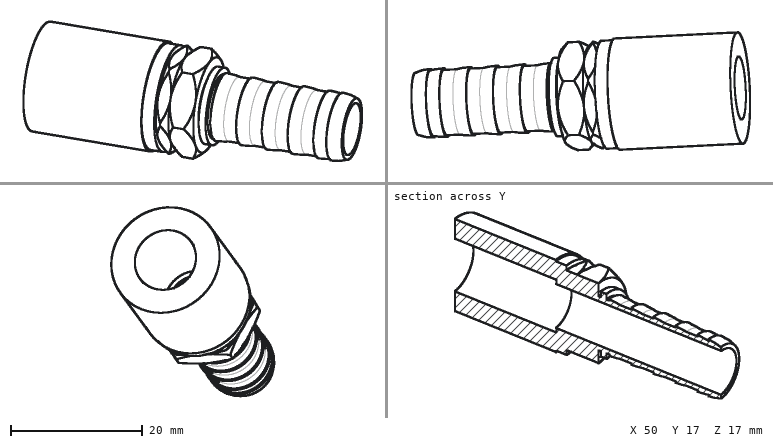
import cadquery as cq
import math


total_length = 50.0
sleeve_end = 19.0
collar_end = 21.0
thin_hex_end = 23.0
nut_end = 27.0
flange_start = 27.4
flange_width = 1.1
barb_start = 29.0
barb_pitch = 4.15
barb_count = 5
barb_length = barb_pitch / 2

sleeve_radius = 8.5
collar_radius = 8.25
flange_radius = 6.0
stem_radius = 5.0
barb_radius = 5.25
tip_radius = 4.75
socket_radius = 4.8
bore_radius = 4.0

hex_corner_radius = sleeve_radius
hex_flat_radius = hex_corner_radius * math.cos(math.pi / 6)


def cylinder(start, end, radius):
    return cq.Workplane("YZ", origin=(start, 0, 0)).circle(radius).extrude(end - start)


def revolve_about_axis(profile):
    return profile.close().revolve(360, (0, 0, 0), (1, 0, 0))


def chamfered_hex(start, end):
    """Hexagon whose corners are cut by 45 degree cones that start at the inscribed circle."""
    prism = (
        cq.Workplane("YZ", origin=(start, 0, 0))
        .polygon(6, 2 * hex_corner_radius)
        .extrude(end - start)
    )
    middle = (start + end) / 2
    apex_radius = hex_flat_radius + (end - start) / 2
    envelope = revolve_about_axis(
        cq.Workplane("XY")
        .moveTo(start, 0)
        .lineTo(start, hex_flat_radius)
        .lineTo(middle, apex_radius)
        .lineTo(end, hex_flat_radius)
        .lineTo(end, 0)
    )
    return prism.intersect(envelope)


def barb(start, end, end_radius):
    """Ridge with a square step facing the nut and a crown curving down towards the tip.

    The crown is nearly parallel to the axis at the step, so halfway along it
    has lost a quarter of its total drop.
    """
    middle = (start + end) / 2
    middle_radius = barb_radius - (barb_radius - end_radius) / 4
    return revolve_about_axis(
        cq.Workplane("XY")
        .moveTo(start, 0)
        .lineTo(start, barb_radius)
        .threePointArc((middle, middle_radius), (end, end_radius))
        .lineTo(end, 0)
    )


body = cylinder(0, sleeve_end, sleeve_radius)
body = body.union(cylinder(sleeve_end, collar_end, collar_radius))
body = body.union(chamfered_hex(collar_end, thin_hex_end))
body = body.union(chamfered_hex(thin_hex_end, nut_end))

tip_start = barb_start + (barb_count - 1) * barb_pitch + barb_length
body = body.union(cylinder(nut_end, tip_start, stem_radius))
body = body.union(cylinder(flange_start, flange_start + flange_width, flange_radius))
for index in range(barb_count):
    start = barb_start + index * barb_pitch
    body = body.union(barb(start, start + barb_length, stem_radius))
body = body.union(barb(tip_start, total_length, tip_radius))

body = body.cut(cylinder(0, sleeve_end, socket_radius))
result = body.cut(cylinder(0, total_length, bore_radius))